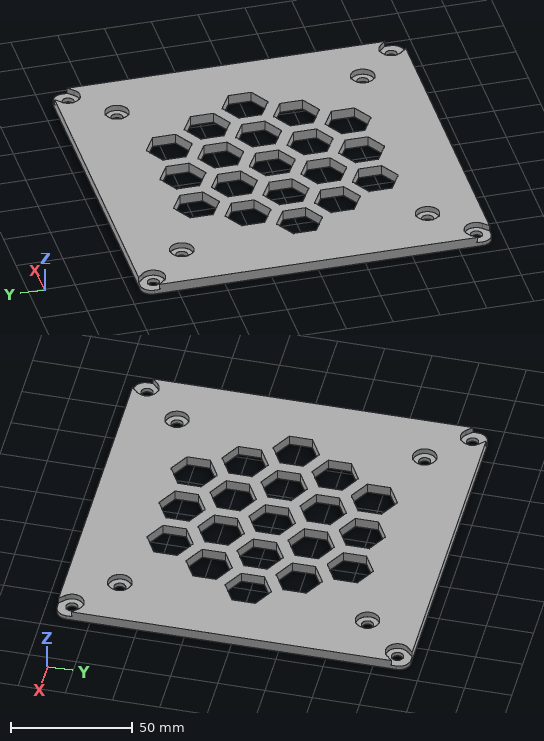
import cadquery as cq
import math

plate_side = 150.0
plate_thickness = 4.5
corner_radius = 5.0

screw_hole_diameter = 5.0
head_diameter = 10.0
head_floor_height = 2.0
corner_hole_inset = 6.0
corner_hole_pitch = plate_side - 2 * corner_hole_inset
fan_hole_pitch = 105.0

hexagon_width = 17.0
hexagon_pitch = 22.0
row_pitch = hexagon_pitch * math.sin(math.radians(60))
hexagon_point_diameter = hexagon_width / math.cos(math.radians(30))
grille_rings = 2


def square_corners(pitch):
    """Corner points of a square centred on the plate."""
    half = pitch / 2
    return [(x, y) for x in (-half, half) for y in (-half, half)]


def grille_centres():
    """Hexagon centres: a middle hexagon surrounded by complete rings."""
    centres = []
    for row in range(-grille_rings, grille_rings + 1):
        count = 2 * grille_rings + 1 - abs(row)
        first_x = -(count - 1) / 2 * hexagon_pitch
        for column in range(count):
            centres.append((first_x + column * hexagon_pitch, row * row_pitch))
    return centres


def make_plate():
    """Square plate with rounded corners, standing on Z = 0."""
    return (
        cq.Workplane("XY")
        .box(plate_side, plate_side, plate_thickness, centered=(True, True, False))
        .edges("|Z")
        .fillet(corner_radius)
    )


def cut_grille(plate):
    """Cut the hexagonal air openings through the plate."""
    opening = (
        cq.Workplane("XY")
        .polygon(6, hexagon_point_diameter)
        .extrude(plate_thickness)
        .rotate((0, 0, 0), (0, 0, 1), 30)
    )
    for x, y in grille_centres():
        plate = plate.cut(opening.translate((x, y, 0)))
    return plate


def cut_screw_holes(plate):
    """Counterbore the fan and corner holes from the top face."""
    centres = square_corners(fan_hole_pitch) + square_corners(corner_hole_pitch)
    return (
        plate.faces(">Z")
        .workplane(origin=(0, 0, 0))
        .pushPoints(centres)
        .cboreHole(screw_hole_diameter, head_diameter, plate_thickness - head_floor_height)
    )


def cut_corner_slots(plate):
    """Open each corner counterbore diagonally outwards, at full head width."""
    slot_length = corner_hole_inset * math.sqrt(2)
    slot_start = corner_hole_pitch / 2 * math.sqrt(2)
    slot = (
        cq.Workplane("XY")
        .workplane(offset=head_floor_height)
        .center(slot_start + slot_length / 2, 0)
        .rect(slot_length, head_diameter)
        .extrude(plate_thickness - head_floor_height)
    )
    for angle in (45, 135, 225, 315):
        plate = plate.cut(slot.rotate((0, 0, 0), (0, 0, 1), angle))
    return plate


result = cut_corner_slots(cut_screw_holes(cut_grille(make_plate())))